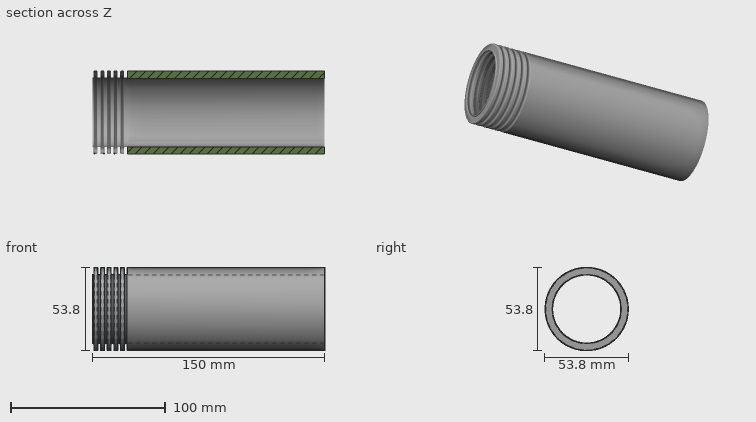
import cadquery as cq

length = 150.0
outer_diameter = 53.8
wall = 0.5
valley_diameter = 44.8
bellows_length = 21.5
crest_count = 5
inside_bend = 0.22
outside_bend = inside_bend + wall

pitch = bellows_length / crest_count
crest_radius = (outer_diameter - wall) / 2
valley_radius = (valley_diameter - wall) / 2
half_fold = pitch / 4


def add_rise(profile, x, valley, crest, valley_bend, crest_bend):
    """Continue from a valley up a radial wall at x to a crest, rounding both bends."""
    return (
        profile.lineTo(x - valley_bend, valley)
        .radiusArc((x, valley + valley_bend), -valley_bend)
        .lineTo(x, crest - crest_bend)
        .radiusArc((x + crest_bend, crest), crest_bend)
    )


def add_fall(profile, x, valley, crest, valley_bend, crest_bend):
    """Continue from a crest down a radial wall at x to a valley, rounding both bends."""
    return (
        profile.lineTo(x - crest_bend, crest)
        .radiusArc((x, crest - crest_bend), crest_bend)
        .lineTo(x, valley + valley_bend)
        .radiusArc((x + valley_bend, valley), -valley_bend)
    )


def bellows_profile(offset, valley_bend, crest_bend):
    """Open outline along the folds' mid-wall surface, moved outward by offset."""
    crest = crest_radius + offset
    valley = valley_radius + offset
    reach = half_fold + offset

    profile = cq.Workplane("XY").lineTo(0, valley)
    for index in range(crest_count):
        center = (index + 0.5) * pitch
        profile = add_rise(profile, center - reach, valley, crest, valley_bend, crest_bend)
        profile = add_fall(profile, center + reach, valley, crest, valley_bend, crest_bend)
    return profile


def revolve_to_end(profile, radius):
    """Run the profile straight to the +X end at the given radius and revolve it about X."""
    closed = profile.lineTo(length, radius).lineTo(length, 0).close()
    return closed.revolve(360, (0, 0, 0), (1, 0, 0))


outer_radius = outer_diameter / 2
outer_valley = valley_diameter / 2
outside_profile = bellows_profile(wall / 2, inside_bend, outside_bend)
tube_start = (crest_count + 0.5) * pitch - half_fold - wall / 2
outside_profile = add_rise(
    outside_profile, tube_start, outer_valley, outer_radius, inside_bend, outside_bend
)
outside = revolve_to_end(outside_profile, outer_radius)

bore_profile = bellows_profile(-wall / 2, outside_bend, inside_bend)
bore = revolve_to_end(bore_profile, outer_valley - wall)

result = outside.cut(bore)